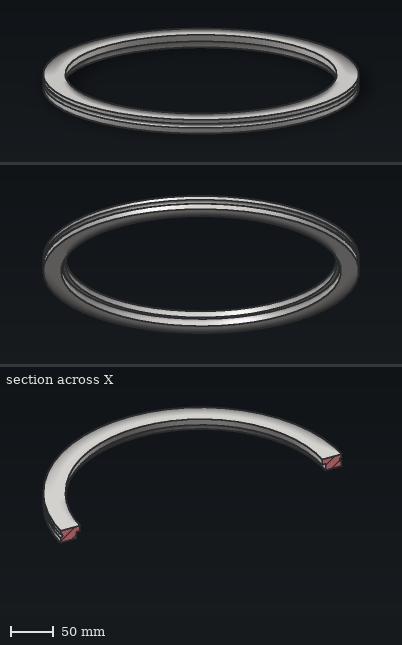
import cadquery as cq

outer_radius = 185.0
bore_radius = 159.0
height = 17.0

recess_radius = 164.0
recess_depth = 9.0

groove_radius = 2.5
groove_height = 9.5


def half_section():
    """Radial section of the ring, drawn as (radius, height)."""
    groove_bottom = groove_height - groove_radius
    groove_top = groove_height + groove_radius
    groove_floor = outer_radius - groove_radius
    return (
        cq.Workplane("XZ")
        .moveTo(recess_radius, 0)
        .lineTo(outer_radius, 0)
        .lineTo(outer_radius, groove_bottom)
        .threePointArc((groove_floor, groove_height), (outer_radius, groove_top))
        .lineTo(outer_radius, height)
        .lineTo(bore_radius, height)
        .lineTo(bore_radius, recess_depth)
        .lineTo(recess_radius, recess_depth)
        .close()
    )


result = half_section().revolve(360, (0, 0, 0), (0, 1, 0))